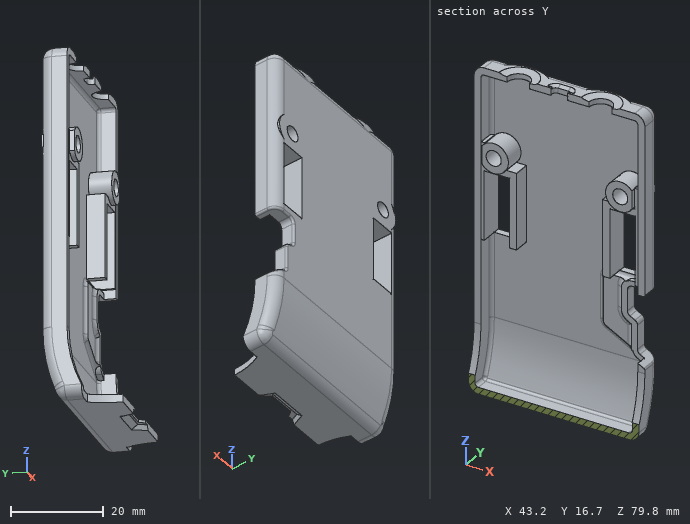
import cadquery as cq
import math


WIDTH = 43.24
HEIGHT = 79.8
WALL = 1.8
RIM_DEPTH = 6.0
EDGE_RADIUS = 2.6
INNER_RADIUS = EDGE_RADIUS - WALL
HALF_WIDTH = WIDTH / 2
INNER_HALF_WIDTH = HALF_WIDTH - WALL

BEND_START_Z = 16.0
BEND_RADIUS = 35.6
BEND_CENTER_Y = -BEND_RADIUS
RIM_END_Z = 2.6

LIP_END_Y = -16.71
LIP_ROOT_Y = -7.0
LIP_END_HALF_WIDTH = 14.82
LIP_SIDE_RADIUS = 16.5
NOTCH_DEPTH = 1.4
NOTCH_END_HALF_WIDTH = 4.25
NOTCH_BACK_HALF_WIDTH = 3.27
PORT_RECESS_HEIGHT = 1.1
PORT_RECESS_BACK_HALF_WIDTH = 4.75
PORT_RECESS_BOTTOM = (6.2, 3.3)
PORT_RECESS_TOP = (5.6, 1.9)

BOSS_X = 16.0
BOSS_Z = 58.73
BOSS_RADIUS = 3.72
BOSS_FRONT_Y = -7.0
BOSS_FLAT_X = 18.93
SCREW_RADIUS = 1.9
BACK_PAD_RADIUS = 4.6

WINDOW_INNER_X = 12.7
WINDOW_OUTER_X = 19.06
WINDOW_BOTTOM_Z = 37.0
WINDOW_TOP_Z = 54.2
FRAME_WALL = 1.8
FRAME_FRONT_Y = -5.9
FRAME_SIDE_TOP_Z = 61.2

JACK_X = 10.4
JACK_RADIUS = 2.85
JACK_FLARE_RADIUS = 4.85
FLARE_DEPTH = 0.5
BULGE_HALF_WIDTH = 7.5
BULGE_RADIUS = 9.5
BULGE_HEIGHT = 4.0
BULGE_EDGE = 0.6
SLOT_Y = -5.4
SLOT_HALF_SPACING = 1.3
SLOT_RADIUS = 0.97
SLOT_FLARE_RADIUS = 2.0

CUTOUT_TOP_Z = 34.95
CUTOUT_INNER_X = 15.55
CUTOUT_STEP_X = 18.1
CUTOUT_STEP_Z = 27.8
CUTOUT_LOWER_Z = 19.0
CUTOUT_SLOPE = 0.53
CUTOUT_CORNER_RADIUS = 1.2
RIM_OFFSET = 1.3
PLATEAU_X = 9.05
PLATEAU_TOP_Z = 35.75
PLATEAU_LOWER_Z = 23.1
PLATEAU_CORNER_RADIUS = 1.2
CUTOUT_TIP_RADIUS = 0.5
STEP_HEIGHT = 0.75
PLATEAU_COVE_RADIUS = 1.18
RIM_COVE_RADIUS = 1.6

BEYOND = 10.0
OVERLAP = WALL / 2
PICK = 0.01


def bend_y(radius, z):
    return BEND_CENTER_Y + math.sqrt(radius**2 - (BEND_START_Z - z) ** 2)


def bend_point(radius, z):
    return (bend_y(radius, z), z)


def box(x0, x1, y0, y1, z0, z1):
    return cq.Workplane("XY").box(x1 - x0, y1 - y0, z1 - z0, centered=False).translate((x0, y0, z0))


def y_prism(points, y_front, y_back):
    """Prism with an outline in X and Z, reaching from y_front to y_back."""
    plane = cq.Workplane("XZ", origin=(0, y_back, 0))
    return plane.polyline(points).close().extrude(y_back - y_front)


def y_cylinder(x, z, radius, y_front, y_back):
    plane = cq.Workplane("XZ", origin=(0, y_back, 0))
    return plane.center(x, z).circle(radius).extrude(y_back - y_front)


def outer_body():
    rim_radius = BEND_RADIUS - RIM_DEPTH
    middle_z = BEND_START_Z / 2
    rim_end_y = bend_y(rim_radius, RIM_END_Z)
    body = (
        cq.Workplane("YZ", origin=(-HALF_WIDTH, 0, 0))
        .moveTo(0, HEIGHT)
        .lineTo(0, BEND_START_Z)
        .threePointArc(bend_point(BEND_RADIUS, middle_z), bend_point(BEND_RADIUS, 0))
        .lineTo(rim_end_y, 0)
        .lineTo(rim_end_y, RIM_END_Z)
        .threePointArc(bend_point(rim_radius, middle_z), (-RIM_DEPTH, BEND_START_Z))
        .lineTo(-RIM_DEPTH, HEIGHT)
        .close()
        .extrude(WIDTH)
    )
    body = body.edges("|Y").fillet(EDGE_RADIUS)
    return body.faces(">Y").edges(">Z").fillet(EDGE_RADIUS)


def cavity():
    radius = BEND_RADIUS - WALL
    front_y = LIP_END_Y - BEYOND
    middle_z = (BEND_START_Z + WALL) / 2
    space = (
        cq.Workplane("YZ", origin=(-INNER_HALF_WIDTH, 0, 0))
        .moveTo(-WALL, HEIGHT - WALL)
        .lineTo(-WALL, BEND_START_Z)
        .threePointArc(bend_point(radius, middle_z), bend_point(radius, WALL))
        .lineTo(front_y, WALL)
        .lineTo(front_y, HEIGHT - WALL)
        .close()
        .extrude(2 * INNER_HALF_WIDTH)
    )
    space = space.edges("|Y").fillet(INNER_RADIUS)
    return space.faces(">Y").edges(">Z").fillet(INNER_RADIUS)


def lip():
    rim_end_y = bend_y(BEND_RADIUS - RIM_DEPTH, RIM_END_Z)
    reach = rim_end_y - LIP_END_Y

    def side_x(distance):
        return LIP_END_HALF_WIDTH + LIP_SIDE_RADIUS - math.sqrt(LIP_SIDE_RADIUS**2 - distance**2)

    root_x = side_x(reach)
    middle = (side_x(reach / 2), LIP_END_Y + reach / 2)
    notch_y = LIP_END_Y + NOTCH_DEPTH
    plate = (
        cq.Workplane("XY")
        .moveTo(-root_x, LIP_ROOT_Y)
        .lineTo(-root_x, rim_end_y)
        .threePointArc((-middle[0], middle[1]), (-LIP_END_HALF_WIDTH, LIP_END_Y))
        .lineTo(-NOTCH_END_HALF_WIDTH, LIP_END_Y)
        .lineTo(-NOTCH_BACK_HALF_WIDTH, notch_y)
        .lineTo(NOTCH_BACK_HALF_WIDTH, notch_y)
        .lineTo(NOTCH_END_HALF_WIDTH, LIP_END_Y)
        .lineTo(LIP_END_HALF_WIDTH, LIP_END_Y)
        .threePointArc(middle, (root_x, rim_end_y))
        .lineTo(root_x, LIP_ROOT_Y)
        .close()
        .extrude(WALL)
    )
    return plate.cut(port_recess())


def port_recess():
    """Tapered recess in the underside of the lip, around the notch."""

    def outline(end, depth):
        back = PORT_RECESS_BACK_HALF_WIDTH
        back_y = LIP_END_Y + depth
        return [(-end, LIP_END_Y), (-back, back_y), (back, back_y), (end, LIP_END_Y)]

    return (
        cq.Workplane("XY")
        .polyline(outline(*PORT_RECESS_BOTTOM))
        .close()
        .workplane(offset=PORT_RECESS_HEIGHT)
        .polyline(outline(*PORT_RECESS_TOP))
        .close()
        .loft()
    )


def bulge(x):
    """Raised rounding of the back edge behind one jack opening."""
    side_y = math.sqrt(BULGE_RADIUS**2 - BULGE_HALF_WIDTH**2) - BULGE_RADIUS
    block = (
        cq.Workplane("XY", origin=(x, 0, HEIGHT - BULGE_HEIGHT))
        .moveTo(-BULGE_HALF_WIDTH, side_y)
        .threePointArc((0, 0), (BULGE_HALF_WIDTH, side_y))
        .close()
        .extrude(BULGE_HEIGHT)
    )
    return block.faces(">Z").edges(">Y").chamfer(BULGE_EDGE)


def jack_opening(x):
    hole = cq.Workplane("XY", origin=(x, -RIM_DEPTH, HEIGHT - 2 * WALL)).circle(JACK_RADIUS).extrude(2 * WALL)
    spread = JACK_FLARE_RADIUS - JACK_RADIUS
    bowl_radius = (spread**2 + FLARE_DEPTH**2) / (2 * FLARE_DEPTH)
    half_angle = math.atan2(FLARE_DEPTH, spread)
    bowl_middle = (
        JACK_RADIUS + bowl_radius * math.sin(half_angle),
        -FLARE_DEPTH + bowl_radius * (1 - math.cos(half_angle)),
    )
    bowl = (
        cq.Workplane("XZ", origin=(x, -RIM_DEPTH, HEIGHT))
        .moveTo(0, 0)
        .lineTo(0, -FLARE_DEPTH)
        .lineTo(JACK_RADIUS, -FLARE_DEPTH)
        .threePointArc(bowl_middle, (JACK_FLARE_RADIUS, 0))
        .close()
        .revolve(360, (0, 0, 0), (0, 1, 0))
    )
    return hole.union(bowl)


def slot_opening():
    length = 2 * SLOT_HALF_SPACING

    def obround(plane, radius):
        return plane.slot2D(length + 2 * radius, 2 * radius)

    hole = obround(cq.Workplane("XY", origin=(0, SLOT_Y, HEIGHT - 2 * WALL)), SLOT_RADIUS).extrude(2 * WALL)
    lower = obround(cq.Workplane("XY", origin=(0, SLOT_Y, HEIGHT - FLARE_DEPTH)), SLOT_RADIUS)
    flare = obround(lower.workplane(offset=FLARE_DEPTH), SLOT_FLARE_RADIUS).loft()
    upper_half = box(-HALF_WIDTH, HALF_WIDTH, SLOT_Y, 0, 0, HEIGHT)
    return hole.union(flare.intersect(upper_half))


def window_frame():
    """Rail, crossbar and wall strip around the -X window."""
    rail_x = WINDOW_INNER_X - FRAME_WALL
    top_z = WINDOW_TOP_Z + FRAME_WALL
    block = box(-INNER_HALF_WIDTH - OVERLAP, -rail_x, FRAME_FRONT_Y, -OVERLAP, WINDOW_BOTTOM_Z, top_z)
    strip = box(
        -INNER_HALF_WIDTH - OVERLAP, -BOSS_FLAT_X, FRAME_FRONT_Y, -OVERLAP, WINDOW_BOTTOM_Z, FRAME_SIDE_TOP_Z
    )
    return block.union(strip)


def window():
    return box(-WINDOW_OUTER_X, -WINDOW_INNER_X, -BEYOND, BEYOND, WINDOW_BOTTOM_Z, WINDOW_TOP_Z)


def boss():
    post = y_cylinder(-BOSS_X, BOSS_Z, BOSS_RADIUS, BOSS_FRONT_Y, -OVERLAP)
    kept = box(-BOSS_FLAT_X, 0, -BEYOND, 0, 0, HEIGHT)
    pad = y_cylinder(-BOSS_X, BOSS_Z, BACK_PAD_RADIUS, -WALL, 0)
    return post.intersect(kept).union(pad)


def screw_hole():
    return y_cylinder(-BOSS_X, BOSS_Z, SCREW_RADIUS, -BEYOND, BEYOND)


def both_sides(solid):
    """The solid together with its mirror image in the YZ plane."""
    return solid.union(solid.mirror("YZ"))


def cutout(depth_front, depth_back):
    """Stepped opening through the +X side, between two Y levels."""
    side_x = HALF_WIDTH + BEYOND
    step = CUTOUT_STEP_X - CUTOUT_INNER_X
    points = [
        (side_x, CUTOUT_TOP_Z),
        (CUTOUT_INNER_X, CUTOUT_TOP_Z),
        (CUTOUT_INNER_X, CUTOUT_STEP_Z),
        (CUTOUT_STEP_X, CUTOUT_STEP_Z - CUTOUT_SLOPE * step),
        (CUTOUT_STEP_X, CUTOUT_LOWER_Z),
        (side_x, CUTOUT_LOWER_Z - CUTOUT_SLOPE * (side_x - CUTOUT_STEP_X)),
    ]
    prism = y_prism(points, depth_front, depth_back)
    inner_edges = cq.selectors.BoxSelector((0, -2 * BEYOND, 0), (HALF_WIDTH, 2 * BEYOND, HEIGHT))
    return prism.edges("|Y").edges(inner_edges).fillet(CUTOUT_CORNER_RADIUS)


def plateau_prism(depth_front, depth_back):
    side_x = HALF_WIDTH + BEYOND
    points = [
        (side_x, PLATEAU_TOP_Z),
        (PLATEAU_X, PLATEAU_TOP_Z),
        (PLATEAU_X, PLATEAU_LOWER_Z),
        (side_x, PLATEAU_LOWER_Z - CUTOUT_SLOPE * (side_x - PLATEAU_X)),
    ]
    prism = y_prism(points, depth_front, depth_back)
    return prism.edges("|Y").edges("<X").fillet(PLATEAU_CORNER_RADIUS)


def cutout_rim_prism(depth_front, depth_back):
    """Cutout opening grown by the width of its rim."""
    outline = cutout(depth_front, depth_back).faces("<Y").wires().val().offset2D(RIM_OFFSET)
    return cq.Workplane("XZ").add(outline).toPending().extrude(depth_front - depth_back)


def coved_step(prism_maker, base_y, cove_radius, height):
    """Layer of the given height above base_y whose edge runs into the base along a cove."""
    top_y = base_y - height
    tall_y = base_y - 2 * cove_radius
    base = box(0, HALF_WIDTH + 3 * BEYOND, base_y, 0, -BEYOND, HEIGHT)
    stack = base.union(prism_maker(tall_y, 0))
    foot = cq.selectors.BoxSelector(
        (PICK, base_y - PICK, PICK - BEYOND),
        (HALF_WIDTH + 2 * BEYOND, base_y + PICK, HEIGHT - PICK),
    )
    stack = stack.edges(foot).fillet(cove_radius)
    return stack.intersect(box(0, INNER_HALF_WIDTH + OVERLAP, top_y, base_y, 0, HEIGHT))


def cutout_steps():
    """Plateau on the panel and the rim along the cutout, which coves down onto the plateau."""
    plateau_y = -WALL - STEP_HEIGHT
    plateau = coved_step(plateau_prism, -WALL, PLATEAU_COVE_RADIUS, STEP_HEIGHT)
    rim = coved_step(cutout_rim_prism, plateau_y, RIM_COVE_RADIUS, STEP_HEIGHT)
    rim_limit = coved_step(plateau_prism, -WALL, PLATEAU_COVE_RADIUS, 2 * STEP_HEIGHT)
    rim_wall = cutout_rim_prism(plateau_y - STEP_HEIGHT, -OVERLAP)
    straight_panel = box(0, INNER_HALF_WIDTH + OVERLAP, -RIM_DEPTH, 0, BEND_START_Z, HEIGHT)
    return plateau.union(rim.intersect(rim_limit)).union(rim_wall.intersect(straight_panel))


def round_cutout_tips(solid):
    """Round the two ends of the side wall where the cutout breaks through the outer face."""
    outer_face = cq.selectors.BoxSelector(
        (HALF_WIDTH - PICK, -BEYOND, BEND_START_Z),
        (HALF_WIDTH + PICK, 0, CUTOUT_TOP_Z + PICK),
    )
    return solid.edges(outer_face).edges("|Y").fillet(CUTOUT_TIP_RADIUS)


body = outer_body()
body = body.union(both_sides(bulge(-JACK_X)))
body = body.cut(cavity()).union(lip())
body = body.union(both_sides(window_frame().union(boss())))
body = body.union(cutout_steps())
body = body.cut(both_sides(window()))
body = body.cut(both_sides(screw_hole()))
body = body.cut(both_sides(jack_opening(-JACK_X)))
body = body.cut(slot_opening())
body = body.cut(cutout(-BEYOND, BEYOND))
result = round_cutout_tips(body)